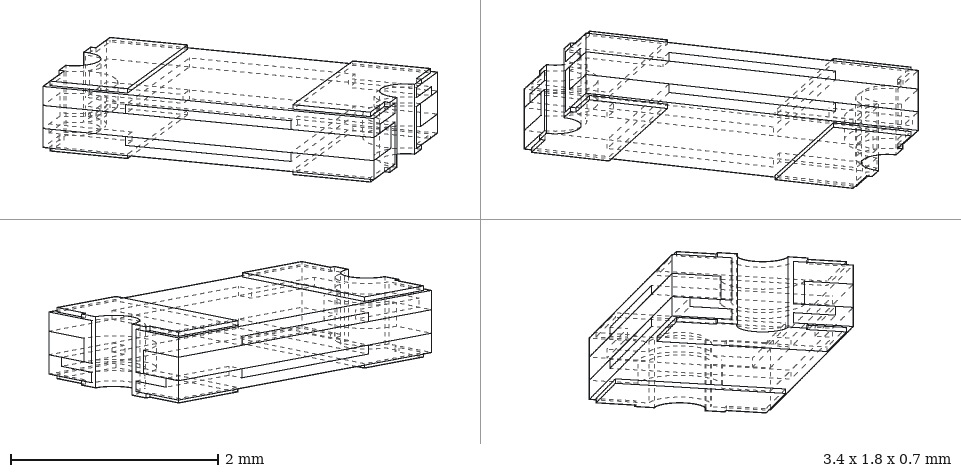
import cadquery as cq


length = 3.4
width = 1.8
height = 0.7

core_thickness = 0.23
foil_thickness = 0.09
pad_thickness = 0.045
core_top = core_thickness / 2
foil_top = core_top + foil_thickness
pad_top = height / 2
cover_top = pad_top - pad_thickness

end_x = length / 2
hole_radius = 0.25
barrel_radius = 0.305
sleeve_radius = 0.415

pad_inner_x = 0.85
pad_margin = 0.055
pad_tab_width = 0.898
foil_neck_width = 1.45


def block(x_min, x_max, y_width, z_min, z_max):
    """Box between the given x and z limits, centred on y = 0."""
    size = (x_max - x_min, y_width, z_max - z_min)
    return cq.Workplane("XY").box(*size, centered=(False, True, False)).translate((x_min, 0, z_min))


def end_cylinder(x, radius, z_min, z_max):
    """Vertical cylinder centred on an end face."""
    return cq.Workplane("XY", origin=(x, 0, z_min)).circle(radius).extrude(z_max - z_min)


def turned(body):
    """Body turned half a turn about the Y axis."""
    return body.rotate((0, 0, 0), (0, 1, 0), 180)


def make_pad(z_min):
    """Solder pad at the -X end with a tab reaching the end face."""
    z_max = z_min + pad_thickness
    main = block(-end_x + pad_margin, -pad_inner_x, width - 2 * pad_margin, z_min, z_max)
    tab = block(-end_x, -pad_inner_x, pad_tab_width, z_min, z_max)
    return main.union(tab)


def make_foil():
    """Foil under the core: full width in the middle, with a neck to the -X end face."""
    middle = block(-pad_inner_x, pad_inner_x, width, -foil_top, -core_top)
    neck = block(-end_x, -pad_inner_x, foil_neck_width, -foil_top, -core_top)
    return middle.union(neck)


def make_terminal():
    """Terminal at the -X end: two pads and a foil joined by a half-round barrel."""
    barrel = end_cylinder(-end_x, barrel_radius, -pad_top, pad_top)
    barrel = barrel.intersect(block(-end_x, 0, width, -pad_top, pad_top))
    terminal = barrel.union(make_pad(cover_top)).union(make_pad(-pad_top)).union(make_foil())
    return terminal.cut(end_cylinder(-end_x, hole_radius, -pad_top, pad_top))


def make_core():
    """Core slab with a clearance notch for the sleeve at each end."""
    core = block(-end_x, end_x, width, -core_top, core_top)
    for x in (-end_x, end_x):
        core = core.cut(end_cylinder(x, sleeve_radius, -core_top, core_top))
    return core


def make_cover():
    """Upper cover: buries the upper foil and lines the core notch at the -X end with a sleeve."""
    cover = block(-end_x, end_x, width, core_top, cover_top)
    sleeve = end_cylinder(-end_x, sleeve_radius, -core_top, core_top)
    sleeve = sleeve.intersect(block(-end_x, 0, width, -core_top, core_top))
    cover = cover.union(sleeve).cut(turned(make_foil()))
    for x in (-end_x, end_x):
        cover = cover.cut(end_cylinder(x, barrel_radius, -cover_top, cover_top))
    return cover


core = make_core()
left_terminal = make_terminal()
right_terminal = turned(left_terminal)
upper_cover = make_cover()
lower_cover = turned(upper_cover)

bodies = [core, left_terminal, right_terminal, upper_cover, lower_cover]
result = cq.Compound.makeCompound([body.solids().val() for body in bodies])